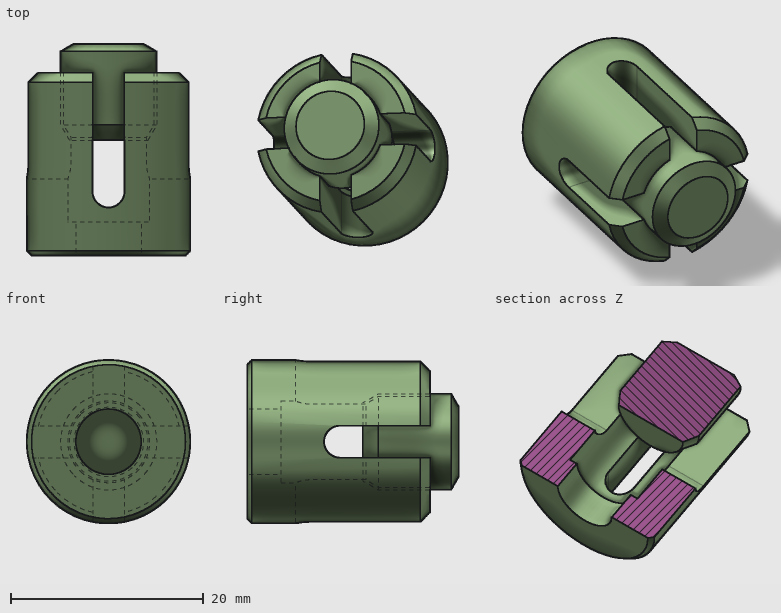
import cadquery as cq
import math


housing_diameter = 17.0
housing_length = 19.0
front_chamfer = 0.5
rear_chamfer = 1.0
inlet_diameter = 6.8
inlet_depth = 3.5
bore_diameter = 8.5

slot_width = 3.3
vertical_slot_start = 5.0
horizontal_slot_start = 8.0

plunger_diameter = 10.0
plunger_front = 12.0
plunger_rear = 22.0
plunger_front_cone_length = 1.6
plunger_front_cone_angle = 30.0
plunger_rear_cone_length = 0.8
plunger_rear_cone_angle = 60.0

plunger_radius = plunger_diameter / 2
front_cone_end = plunger_front + plunger_front_cone_length
front_cone_slope = math.tan(math.radians(plunger_front_cone_angle))


def turn(profile):
    """Revolve a closed (radius, y) outline about the Y axis."""
    return cq.Workplane("XY").polyline(profile).close().revolve(360, (0, 0, 0), (0, 1, 0))


def make_slot(start):
    """Slot cutter running through along Z, with its round end starting at the given Y."""
    half_width = slot_width / 2
    return (
        cq.Workplane("XY")
        .moveTo(-half_width, housing_length)
        .lineTo(-half_width, start + half_width)
        .threePointArc((0, start), (half_width, start + half_width))
        .lineTo(half_width, housing_length)
        .close()
        .extrude(housing_diameter, both=True)
    )


def make_housing():
    """Chamfered sleeve with a stepped bore, a conical plunger seat and two crossing slots."""
    radius = housing_diameter / 2
    inlet_radius = inlet_diameter / 2
    bore_radius = bore_diameter / 2
    seat_start = front_cone_end - (plunger_radius - bore_radius) / front_cone_slope
    sleeve = turn([
        (inlet_radius, 0),
        (radius - front_chamfer, 0),
        (radius, front_chamfer),
        (radius, housing_length - rear_chamfer),
        (radius - rear_chamfer, housing_length),
        (plunger_radius, housing_length),
        (plunger_radius, front_cone_end),
        (bore_radius, seat_start),
        (bore_radius, inlet_depth),
        (inlet_radius, inlet_depth),
    ])
    vertical_slot = make_slot(vertical_slot_start)
    horizontal_slot = make_slot(horizontal_slot_start).rotate((0, 0, 0), (0, 1, 0), 90)
    return sleeve.cut(vertical_slot).cut(horizontal_slot)


def make_plunger():
    """Solid round plunger with a cone at each end."""
    front_cone_drop = plunger_front_cone_length * front_cone_slope
    rear_cone_drop = plunger_rear_cone_length * math.tan(math.radians(plunger_rear_cone_angle))
    return turn([
        (0, plunger_front),
        (plunger_radius - front_cone_drop, plunger_front),
        (plunger_radius, front_cone_end),
        (plunger_radius, plunger_rear - plunger_rear_cone_length),
        (plunger_radius - rear_cone_drop, plunger_rear),
        (0, plunger_rear),
    ])


housing = make_housing()
plunger = make_plunger()

result = cq.Compound.makeCompound([housing.val(), plunger.val()])